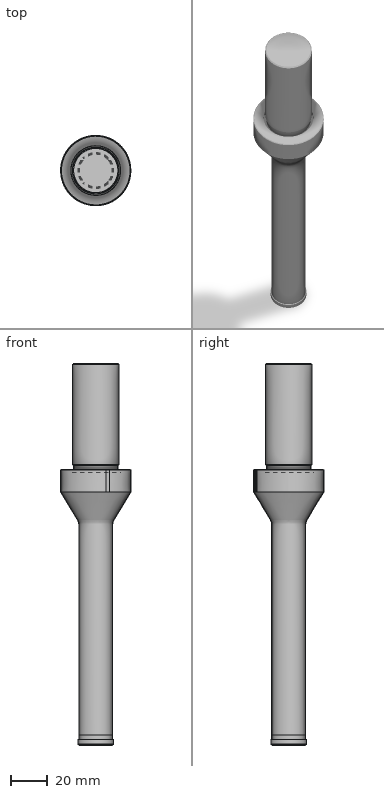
import cadquery as cq
import math

TOTAL_HEIGHT = 207.3
SHANK_BOTTOM = 152.0
COLLAR_TOP = 149.8
COLLAR_BOTTOM = 137.6
CONE_BOTTOM = 121.2
HEAD_TOP = 5.8
FLANGE_TOP = 3.3

SHANK_RADIUS = 12.6
NECK_RADIUS = 12.0
RECESS_RADIUS = 13.5
COLLAR_RADIUS = 19.0
STEM_RADIUS = 9.22
FLANGE_RADIUS = 9.7

SHANK_CHAMFER = 0.6
COLLAR_CHAMFER = 0.5
FLANGE_CHAMFER = 0.8
CONE_FILLET = 3.7
RECESS_DEPTH = 1.7
MARK_WIDTH = 2.0
MARK_DEPTH = 0.2
MARK_OFFSET = 6.6


def cylinder(radius, bottom, top):
    """Cylinder on the tool axis between two heights."""
    return cq.Workplane("XY").workplane(offset=bottom).circle(radius).extrude(top - bottom)


def make_stem():
    """Long stem that flares through a cone into the collar."""
    stem_outline = (
        cq.Workplane("XZ")
        .moveTo(0, HEAD_TOP)
        .lineTo(STEM_RADIUS, HEAD_TOP)
        .lineTo(STEM_RADIUS, CONE_BOTTOM)
        .lineTo(COLLAR_RADIUS, COLLAR_BOTTOM)
        .lineTo(COLLAR_RADIUS, COLLAR_TOP)
        .lineTo(0, COLLAR_TOP)
        .close()
    )
    stem = stem_outline.revolve(360, (0, 0, 0), (0, 1, 0))
    cone_foot = cq.selectors.BoxSelector(
        (-COLLAR_RADIUS, -COLLAR_RADIUS, CONE_BOTTOM - CONE_FILLET),
        (COLLAR_RADIUS, COLLAR_RADIUS, CONE_BOTTOM + CONE_FILLET),
        boundingbox=True,
    )
    stem = stem.edges(cone_foot).edges("%CIRCLE").fillet(CONE_FILLET)
    return stem.faces(">Z").edges().chamfer(COLLAR_CHAMFER)


def make_collar_mark():
    """Shallow upright groove cut into the rim of the collar."""
    mark_angle = -math.degrees(math.acos(MARK_OFFSET / COLLAR_RADIUS))
    mark = cq.Workplane("XY").box(
        2 * MARK_DEPTH, MARK_WIDTH, COLLAR_TOP - COLLAR_BOTTOM, centered=(True, True, False)
    )
    return mark.translate((COLLAR_RADIUS, 0, COLLAR_BOTTOM)).rotate((0, 0, 0), (0, 0, 1), mark_angle)


def make_holder():
    """Shank, neck sunk in a ring-shaped undercut, collar, cone and stem in one piece."""
    shank = cylinder(SHANK_RADIUS, SHANK_BOTTOM, TOTAL_HEIGHT)
    shank = shank.faces("<Z or >Z").edges().chamfer(SHANK_CHAMFER)
    recess_floor = COLLAR_TOP - RECESS_DEPTH
    recess = cylinder(RECESS_RADIUS, recess_floor, COLLAR_TOP)
    neck = cylinder(NECK_RADIUS, recess_floor, SHANK_BOTTOM)
    return make_stem().cut(recess).cut(make_collar_mark()).union(neck).union(shank)


def make_head():
    """Tip piece: a short neck as wide as the stem above a wider chamfered flange."""
    flange = cylinder(FLANGE_RADIUS, 0, FLANGE_TOP).faces("<Z").edges().chamfer(FLANGE_CHAMFER)
    return flange.union(cylinder(STEM_RADIUS, FLANGE_TOP, HEAD_TOP))


holder = make_holder()
head = make_head()

result = cq.Compound.makeCompound([holder.val(), head.val()])